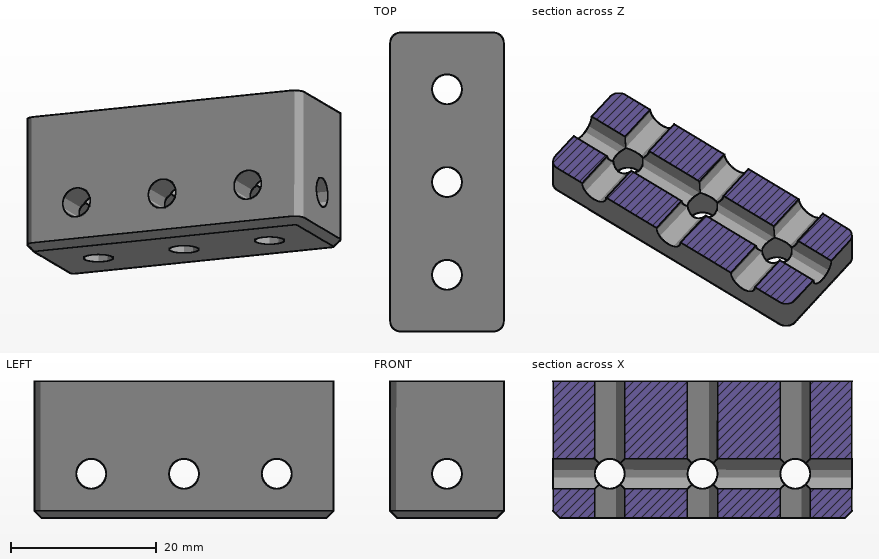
import cadquery as cq

width = 15.63
length = 41.0
height = 18.8

corner_radius = 1.48
bottom_chamfer = 1.0

hole_diameter = 4.05
hole_pitch = 12.7
cross_hole_z = height / 2 - hole_pitch
hole_places = [-hole_pitch, 0, hole_pitch]


def make_body():
    """Block centred on the origin, with rounded corners and a chamfered bottom."""
    block = cq.Workplane("XY").box(width, length, height)
    return block.edges("|Z").fillet(corner_radius).faces("<Z").chamfer(bottom_chamfer)


def through_holes(plane, points, depth):
    """Round cutters at the given plane points, centred on the plane."""
    return cq.Workplane(plane).pushPoints(points).circle(hole_diameter / 2).extrude(depth / 2, both=True)


vertical_holes = through_holes("XY", [(0, y) for y in hole_places], height)
side_holes = through_holes("YZ", [(y, cross_hole_z) for y in hole_places], width)
end_hole = through_holes("XZ", [(0, cross_hole_z)], length)

result = make_body().cut(vertical_holes).cut(side_holes).cut(end_hole)